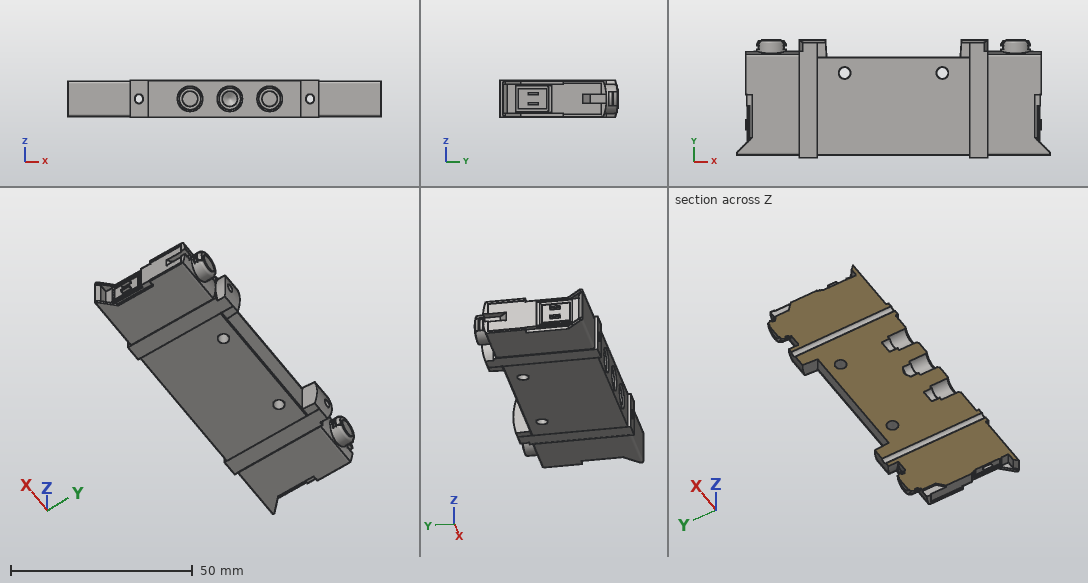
import cadquery as cq

LENGTH = 86.3
TOP_Y = 32.5
BAND_HEIGHT = 10.3
BODY_HEIGHT = 10.2
BLOCK_HEIGHT = 9.75

FRONT_Y = 0.8
BODY_TOP_Y = 27.8
BODY_EDGE_CHAMFER = 0.3
PORT_X = 1.5
PORT_SPACING = 11.0
PORT_DIAMETER = 5.95
PORT_MOUTH_DIAMETER = 7.0
PORT_DEPTH = 6.0
PORT_BORE_DIAMETER = 4.2
PORT_BORE_DEPTH = 8.6
PORT_CONE_DEPTH = 1.2
MOUNT_HOLE_DIAMETER = 3.2
MOUNT_HOLE_X = 13.5
MOUNT_HOLE_Y = 23.4

BAND_OUTER_X = 26.0
BAND_INNER_X = 21.0
BAND_SHOULDER_Y = 29.35
BAND_EDGE_Y = 31.8
BAND_EDGE_X = 24.95
TAB_ROOT_X = 18.4
TAB_TIP_X = 18.7
BAND_HOLE_X = 23.6
BAND_HOLE_WIDTH = 2.2
BAND_HOLE_HEIGHT = 2.5

BLOCK_X = 40.7
BLOCK_CREST_Y = 29.35
BLOCK_EDGE_Y = 28.6
BLOCK_SIDE_Y = 28.0
BLOCK_EDGE_Z = 4.75
BLOCK_FILLET = 0.7
LIP_TIP_Y = 1.5
RECESS_X = 38.9
RECESS_TOP_Y = 17.4
CORE_HALF_WIDTH = 4.0

PANEL_DEPTH = 0.3
PANEL_TOP_Y = 27.9
PANEL_HALF_WIDTH = 4.2
SLOT_WIDTH = 2.4
SLOT_DEPTH = 2.4
SLOT_FLOOR_Y = 24.9
SLOT_END_Y = 22.8

SOCKET_FLOOR_X = 39.6
SOCKET_TOP_Y = 14.3
SOCKET_BOTTOM_Y = 2.1
SOCKET_LIP_Y = 0.95
PLATE_X = 40.2
PLATE_BOTTOM_Y = 4.4
PLATE_WIDTH = 7.8
PLATE_CHAMFER = 0.3
RING_WIDTH = 7.1
RING_TOP_Y = 13.5
RING_CHAMFER = 0.4
RING_WALL = 0.6
CAVITY_WIDTH = 5.5
STEP_DEPTH = 0.3
PIN_BOTTOM_Y = 7.8
PIN_TOP_Y = 10.5
PIN_THICKNESS = 0.5
PIN_Z = 1.4

KNOB_X = 33.7
KNOB_RADIUS = 4.1
KNOB_FILLET = 0.6
KNOB_SHOULDER_Y = 32.3
KNOB_CAP_RADIUS = 2.6
LUG_EDGE_Y = 31.25
LUG_WIDTH = 3.9
WINDOW_BOTTOM_Y = 29.95
WINDOW_TOP_Y = 30.9
WINDOW_RADIUS = 3.45


def box(x0, x1, y0, y1, half_z):
    """Box between two X and two Y values, centred on Z = 0."""
    return cq.Workplane("XY").box(x1 - x0, y1 - y0, 2 * half_z).translate(
        ((x0 + x1) / 2, (y0 + y1) / 2, 0)
    )


def turned(profile, x):
    """Solid of revolution about the Y-parallel axis at x, from (radius, y) points."""
    return cq.Workplane("XY").polyline(profile).close().revolve(360, (0, 0), (0, 1)).translate((x, 0, 0))


def make_body():
    body = box(-BAND_OUTER_X, BAND_OUTER_X, FRONT_Y, BODY_TOP_Y, BODY_HEIGHT / 2)
    body = body.edges(">Y and |X").chamfer(BODY_EDGE_CHAMFER)
    mounts = (
        cq.Workplane("XY", origin=(0, MOUNT_HOLE_Y, 0))
        .pushPoints([(-MOUNT_HOLE_X, 0), (MOUNT_HOLE_X, 0)])
        .circle(MOUNT_HOLE_DIAMETER / 2)
        .extrude(BODY_HEIGHT, both=True)
    )
    body = body.cut(mounts)
    for index in (-1, 0, 1):
        body = body.cut(port(PORT_X + index * PORT_SPACING, conical=index == 0))
    return body


def port(x, conical):
    """Stepped port from the front; only the middle one ends in a drill cone."""
    mouth_y = FRONT_Y + (PORT_MOUTH_DIAMETER - PORT_DIAMETER) / 2
    step_y = FRONT_Y + PORT_DEPTH
    floor_y = FRONT_Y + PORT_BORE_DEPTH
    tip_y = floor_y + (PORT_CONE_DEPTH if conical else 0)
    profile = [
        (0, FRONT_Y),
        (PORT_MOUTH_DIAMETER / 2, FRONT_Y),
        (PORT_DIAMETER / 2, mouth_y),
        (PORT_DIAMETER / 2, step_y),
        (PORT_BORE_DIAMETER / 2, step_y),
        (PORT_BORE_DIAMETER / 2, floor_y),
        (0, tip_y),
    ]
    return turned(profile, x)


def make_band():
    """Left clamp band: arched top edge, bowed outer face above the shoulder, inward tab."""
    half = BAND_HEIGHT / 2
    outline = [
        (-BAND_OUTER_X, 0),
        (-BAND_INNER_X, 0),
        (-BAND_INNER_X, TOP_Y),
        (-BAND_OUTER_X, TOP_Y),
    ]
    band = cq.Workplane("XY").polyline(outline).close().extrude(half, both=True)
    tab_outline = [
        (-BAND_INNER_X, BODY_TOP_Y),
        (-TAB_ROOT_X, BODY_TOP_Y),
        (-TAB_TIP_X, TOP_Y),
        (-BAND_INNER_X, TOP_Y),
    ]
    tab = cq.Workplane("XY").polyline(tab_outline).close().extrude(BODY_HEIGHT / 2, both=True)
    band = band.union(tab)
    arch = (
        cq.Workplane("YZ", origin=(-BAND_OUTER_X, 0, 0))
        .moveTo(0, -half)
        .lineTo(BAND_EDGE_Y, -half)
        .threePointArc((TOP_Y, 0), (BAND_EDGE_Y, half))
        .lineTo(0, half)
        .close()
        .extrude(BAND_OUTER_X)
    )
    bow = (
        cq.Workplane("XZ", origin=(0, BAND_SHOULDER_Y, 0))
        .moveTo(0, -half)
        .lineTo(-BAND_EDGE_X, -half)
        .threePointArc((-BAND_OUTER_X, 0), (-BAND_EDGE_X, half))
        .lineTo(0, half)
        .close()
        .extrude(-TOP_Y)
    )
    shoulder = box(-BAND_OUTER_X, 0, 0, BAND_SHOULDER_Y, half)
    return band.intersect(arch).intersect(bow.union(shoulder))


def band_hole():
    """Upright oblong hole running the full length of the left band."""
    return (
        cq.Workplane("XZ", origin=(-BAND_HOLE_X, 0, 0))
        .slot2D(BAND_HOLE_HEIGHT, BAND_HOLE_WIDTH, 90)
        .extrude(-TOP_Y)
    )


def make_block():
    """Left pilot block: arched top edge, flared front lip and stepped end face."""
    half = BLOCK_HEIGHT / 2
    block = (
        cq.Workplane("YZ", origin=(-LENGTH / 2, 0, 0))
        .moveTo(FRONT_Y, -half)
        .lineTo(BLOCK_SIDE_Y, -half)
        .lineTo(BLOCK_EDGE_Y, -BLOCK_EDGE_Z)
        .threePointArc((BLOCK_CREST_Y, 0), (BLOCK_EDGE_Y, BLOCK_EDGE_Z))
        .lineTo(BLOCK_SIDE_Y, half)
        .lineTo(FRONT_Y, half)
        .close()
        .extrude(LENGTH / 2 - BAND_OUTER_X)
        .edges("<Y and |X")
        .fillet(BLOCK_FILLET)
    )
    lip_rise = LENGTH / 2 - RECESS_X
    end_space = [
        (-LENGTH / 2, LIP_TIP_Y),
        (-RECESS_X, LIP_TIP_Y + lip_rise),
        (-RECESS_X, RECESS_TOP_Y),
        (-BLOCK_X, RECESS_TOP_Y),
        (-BLOCK_X, BLOCK_CREST_Y),
        (-LENGTH / 2, BLOCK_CREST_Y),
    ]
    block = block.cut(cq.Workplane("XY").polyline(end_space).close().extrude(half, both=True))
    panel_x = BLOCK_X - PANEL_DEPTH
    block = block.cut(box(-BLOCK_X, -panel_x, RECESS_TOP_Y, PANEL_TOP_Y, PANEL_HALF_WIDTH))
    block = block.union(box(-panel_x, -RECESS_X, SOCKET_TOP_Y, RECESS_TOP_Y, CORE_HALF_WIDTH))
    return block.cut(key_slot())


def key_slot():
    """Slot open at the top of the end face, with a sloped lower end."""
    floor_x = BLOCK_X - SLOT_DEPTH
    outline = [
        (-BLOCK_X, SLOT_END_Y),
        (-(BLOCK_X - PANEL_DEPTH), SLOT_END_Y),
        (-floor_x, SLOT_FLOOR_Y),
        (-floor_x, BLOCK_CREST_Y),
        (-BLOCK_X, BLOCK_CREST_Y),
    ]
    return cq.Workplane("XY").polyline(outline).close().extrude(SLOT_WIDTH / 2, both=True)


def add_socket(block):
    """Connector: base cut into the lip, raised plate with two shallow steps and two blade pins."""
    lip_rise = SOCKET_BOTTOM_Y - SOCKET_LIP_Y
    space = [
        (-LENGTH / 2, SOCKET_LIP_Y),
        (-LENGTH / 2 + lip_rise, SOCKET_BOTTOM_Y),
        (-SOCKET_FLOOR_X, SOCKET_BOTTOM_Y),
        (-SOCKET_FLOOR_X, SOCKET_TOP_Y),
        (-LENGTH / 2, SOCKET_TOP_Y),
    ]
    block = block.cut(cq.Workplane("XY").polyline(space).close().extrude(CORE_HALF_WIDTH, both=True))
    block = block.union(
        box(-SOCKET_FLOOR_X, -RECESS_X, SOCKET_BOTTOM_Y, SOCKET_TOP_Y, CORE_HALF_WIDTH)
    )
    plate = box(-PLATE_X, -SOCKET_FLOOR_X, PLATE_BOTTOM_Y, SOCKET_TOP_Y, PLATE_WIDTH / 2)
    plate = plate.edges("<X and |Y").chamfer(PLATE_CHAMFER)
    ring_x = PLATE_X - STEP_DEPTH
    ring = box(-PLATE_X, -ring_x, PLATE_BOTTOM_Y, RING_TOP_Y, RING_WIDTH / 2)
    ring = ring.edges(">Y and |X").chamfer(RING_CHAMFER)
    cavity_floor_x = ring_x - STEP_DEPTH
    cavity = box(
        -ring_x,
        -cavity_floor_x,
        PLATE_BOTTOM_Y + RING_WALL,
        RING_TOP_Y - RING_WALL,
        CAVITY_WIDTH / 2,
    )
    block = block.union(plate.cut(ring).cut(cavity))
    for side in (-1, 1):
        pin = box(-BLOCK_X, -cavity_floor_x, PIN_BOTTOM_Y, PIN_TOP_Y, PIN_THICKNESS / 2)
        block = block.union(pin.translate((0, 0, side * PIN_Z)))
    return block


def make_knob():
    """Rounded knob with a raised cap, and a chamfered lug over a window on each X side."""
    base_y = BLOCK_SIDE_Y
    face_radius = KNOB_RADIUS - KNOB_FILLET
    knob = turned(
        [(0, base_y), (KNOB_RADIUS, base_y), (KNOB_RADIUS, KNOB_SHOULDER_Y), (0, KNOB_SHOULDER_Y)], 0
    )
    knob = knob.faces(">Y").edges().fillet(KNOB_FILLET)
    knob = knob.union(
        turned([(0, base_y), (KNOB_CAP_RADIUS, base_y), (KNOB_CAP_RADIUS, TOP_Y), (0, TOP_Y)], 0)
    )
    lug_chamfer = turned(
        [(KNOB_RADIUS, LUG_EDGE_Y), (KNOB_RADIUS, KNOB_SHOULDER_Y), (face_radius, KNOB_SHOULDER_Y)], 0
    )
    window = turned(
        [
            (WINDOW_RADIUS, WINDOW_BOTTOM_Y),
            (KNOB_RADIUS, WINDOW_BOTTOM_Y),
            (KNOB_RADIUS, WINDOW_TOP_Y),
            (WINDOW_RADIUS, WINDOW_TOP_Y),
        ],
        0,
    )
    lug_zone = box(-KNOB_RADIUS, KNOB_RADIUS, base_y, KNOB_SHOULDER_Y, LUG_WIDTH / 2)
    knob = knob.cut(lug_chamfer.intersect(lug_zone)).cut(window.intersect(lug_zone))
    return knob.translate((-KNOB_X, 0, 0))


left_end = add_socket(make_block()).union(make_knob()).union(make_band())
result = make_body().union(left_end).union(left_end.mirror("YZ"))
result = result.cut(band_hole()).cut(band_hole().mirror("YZ"))